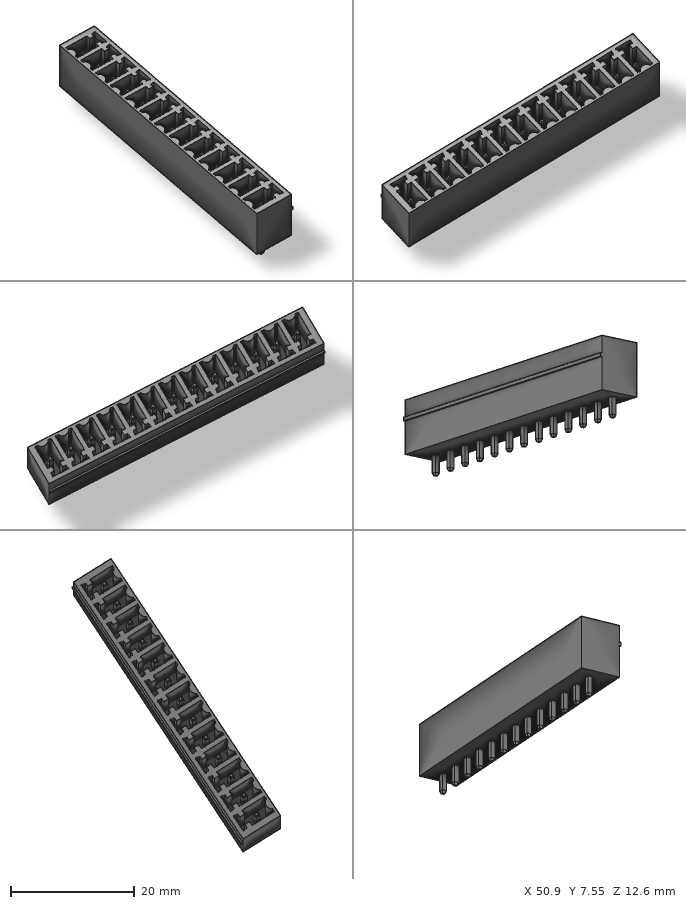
import cadquery as cq
import math

length = 50.9
depth = 7.25
height = 9.15

rib_projection = 0.3
rib_height = 0.6
rib_top_below_rim = 2.95

pin_count = 13
end_margin = 2.6
pitch = (length - 2 * end_margin) / (pin_count - 1)
pin_y = 2.95

pin_side = 0.8
pin_tip_side = 0.45
pin_tip_length = 0.45
pin_below = 3.4
pin_top_below_rim = 1.5

floor_thickness = 2.05
cavity_width = 3.0
cavity_front_y = 0.45
shoulder_y = 4.8
neck_width = 1.5
key_y = 5.7
key_front_width = 2.7
cavity_back_y = 6.45
key_ridge_radius = 1.05


def make_housing():
    """Plain block with the rib along its back face."""
    block = cq.Workplane("XY").box(length, depth, height, centered=(True, False, False))
    rib_bottom_z = height - rib_top_below_rim - rib_height
    rib = (
        cq.Workplane("XY", origin=(0, depth, rib_bottom_z))
        .box(length, rib_projection, rib_height, centered=(True, False, False))
    )
    return block.union(rib)


def make_cavity(x):
    """Keyed plug cavity: wide front, narrow neck and a dovetailed slot at the back."""
    half = cavity_width / 2
    neck = neck_width / 2
    key = key_front_width / 2
    ridge = math.sqrt(key_ridge_radius**2 - cavity_front_y**2)
    return (
        cq.Workplane("XY", origin=(x, 0, floor_thickness))
        .moveTo(-half, cavity_front_y)
        .lineTo(-ridge, cavity_front_y)
        .threePointArc((0, key_ridge_radius), (ridge, cavity_front_y))
        .lineTo(half, cavity_front_y)
        .lineTo(half, shoulder_y)
        .lineTo(neck, shoulder_y)
        .lineTo(neck, key_y)
        .lineTo(key, key_y)
        .lineTo(half, cavity_back_y)
        .lineTo(-half, cavity_back_y)
        .lineTo(-key, key_y)
        .lineTo(-neck, key_y)
        .lineTo(-neck, shoulder_y)
        .lineTo(-half, shoulder_y)
        .close()
        .extrude(height - floor_thickness)
    )


def make_pin_tip(x, shank_end_z, direction):
    """Truncated pyramid on the end of a pin; direction is +1 for up and -1 for down."""
    return (
        cq.Workplane(cq.Plane((x, pin_y, shank_end_z), (1, 0, 0), (0, 0, direction)))
        .rect(pin_side, pin_side)
        .workplane(offset=pin_tip_length)
        .rect(pin_tip_side, pin_tip_side)
        .loft(ruled=True)
    )


def make_pin(x):
    """Square pin through the housing floor, tapered at both ends."""
    shank_bottom_z = pin_tip_length - pin_below
    shank_top_z = height - pin_top_below_rim - pin_tip_length
    shank = (
        cq.Workplane("XY", origin=(x, pin_y, shank_bottom_z))
        .rect(pin_side, pin_side)
        .extrude(shank_top_z - shank_bottom_z)
    )
    lower_tip = make_pin_tip(x, shank_bottom_z, -1)
    upper_tip = make_pin_tip(x, shank_top_z, 1)
    return shank.union(lower_tip).union(upper_tip)


result = make_housing()
for index in range(pin_count):
    pin_x = (index - (pin_count - 1) / 2) * pitch
    result = result.cut(make_cavity(pin_x)).union(make_pin(pin_x))